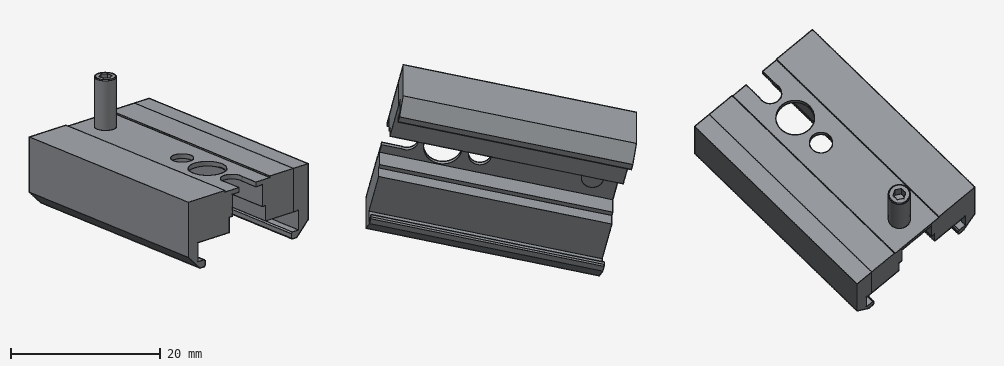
import cadquery as cq
import math

length = 32.2
y_front = -10.6
y_back = 10.9
y_joint = 8.25

top_z = 10.15
recess_z = 9.92
ceiling_z = 9.25
step_z = 6.05
underside_z = 3.85

recess_half_width = 4.02
channel_half_width = 2.7
channel_mouth_half_width = 3.25

hook_wall = 1.75
lip_reach = 1.32
lip_thickness = 1.03
bevel = 2.1
lip_chamfer = 0.2
strip_hook_z = 0.0
housing_hook_z = 0.1

small_hole_x = 19.0
small_hole_diameter = 3.1
large_hole_x = 24.12
large_hole_diameter = 5.2
slot_x = 29.08
slot_width = 3.0

pin_x = 3.48
pin_diameter = 3.0
pin_top_z = 17.2
pin_chamfer = 0.13
hex_across_flats = 1.5
hex_sides = 6
hex_depth = 1.6


def hook_outline(outer_y, inward, wall, bottom_z):
    """Points of a hook from the outer bevel round to the seat; inward is the Y direction to the middle."""
    bevel_start = (outer_y, bottom_z + bevel)
    bevel_end = (outer_y + inward * bevel, bottom_z)
    wall_y = outer_y + inward * wall
    tip_y = wall_y + inward * lip_reach
    lip_top_z = bottom_z + lip_thickness
    return [
        bevel_start,
        bevel_end,
        (tip_y - inward * lip_chamfer, bottom_z),
        (tip_y, bottom_z + lip_chamfer),
        (tip_y, lip_top_z - lip_chamfer),
        (tip_y - inward * lip_chamfer, lip_top_z),
        (wall_y, lip_top_z),
        (wall_y, underside_z),
    ]


def extrude_along_rail(points):
    return cq.Workplane("YZ").polyline(points).close().extrude(length)


def plate_cutter(x, diameter):
    """Vertical cylinder through the plate between the channel and the recess."""
    return (
        cq.Workplane("XY", origin=(x, 0, ceiling_z))
        .circle(diameter / 2)
        .extrude(recess_z - ceiling_z)
    )


def make_housing():
    profile = [
        (y_joint, underside_z),
        (y_joint, top_z),
        (recess_half_width, top_z),
        (recess_half_width, recess_z),
        (-recess_half_width, recess_z),
        (-recess_half_width, top_z),
        (y_front, top_z),
        *hook_outline(y_front, 1, hook_wall, housing_hook_z),
        (-channel_mouth_half_width, underside_z),
        (-channel_mouth_half_width, step_z),
        (-channel_half_width, step_z),
        (-channel_half_width, ceiling_z),
        (channel_half_width, ceiling_z),
        (channel_half_width, step_z),
        (channel_mouth_half_width, step_z),
        (channel_mouth_half_width, underside_z),
    ]
    housing = extrude_along_rail(profile)

    for x, diameter in (
        (small_hole_x, small_hole_diameter),
        (large_hole_x, large_hole_diameter),
        (slot_x, small_hole_diameter),
        (pin_x, pin_diameter),
    ):
        housing = housing.cut(plate_cutter(x, diameter))

    slot = cq.Workplane("XY").box(
        length - slot_x, slot_width, recess_z - ceiling_z, centered=(False, True, False)
    ).translate((slot_x, 0, ceiling_z))
    return housing.cut(slot)


def make_clamp_strip():
    profile = [
        (y_joint, top_z),
        (y_back, top_z),
        *hook_outline(y_back, -1, hook_wall, strip_hook_z),
        (y_joint, underside_z),
    ]
    return extrude_along_rail(profile)


def make_pin():
    pin = (
        cq.Workplane("XY", origin=(pin_x, 0, ceiling_z))
        .circle(pin_diameter / 2)
        .extrude(pin_top_z - ceiling_z)
        .faces(">Z")
        .chamfer(pin_chamfer)
    )
    hex_across_corners = hex_across_flats / math.cos(math.pi / hex_sides)
    hex_socket = (
        cq.Workplane("XY", origin=(pin_x, 0, pin_top_z - hex_depth))
        .polygon(hex_sides, hex_across_corners)
        .extrude(hex_depth)
    )
    return pin.cut(hex_socket)


housing = make_housing()
clamp_strip = make_clamp_strip()
pin = make_pin()

result = cq.Compound.makeCompound([housing.val(), clamp_strip.val(), pin.val()])